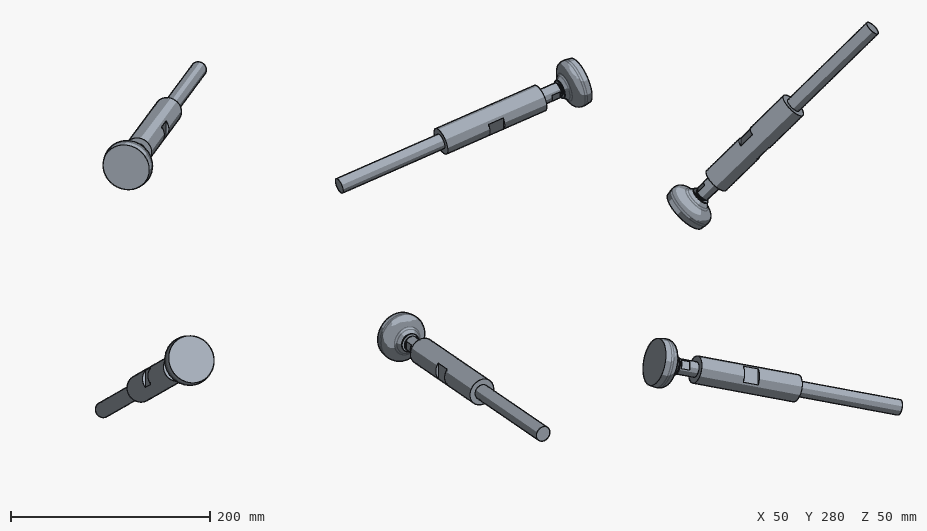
import cadquery as cq

total_length = 280.0

spindle_radius = 7.98
spindle_flat_width = 13.2
spindle_flat_start = 27.2
spindle_flat_length = 9.5
neck_radius = 6.7

sleeve_radius = 14.0
sleeve_start = 46.8
sleeve_length = 115.0
sleeve_flat_width = 22.0
sleeve_flat_length = 17.0
sleeve_flat_start = sleeve_start + (sleeve_length - sleeve_flat_length) / 2

foot_radius = 50.0 / 2
sole_radius = 24.0
rim_start = 6.2
rim_end = 8.7
shoulder_radius = 15.0
shoulder_slope = 0.4
shoulder_height = 18.0
collar_radius = 9.8
collar_edge_height = 23.0
cone_drop = 3.5
cone_radius = collar_radius + cone_drop
cone_height = collar_edge_height - cone_drop
foot_height = 24.0
neck_length = 1.5
spindle_end = foot_height + neck_length


def cylinder(radius, start, length):
    """Round bar along +Y from the given start."""
    return cq.Workplane("XZ", origin=(0, start, 0)).circle(radius).extrude(-length)


def cut_flats(body, radius, width, start, length):
    """Cut two opposite flats, facing -X and +X, leaving the given width across them."""
    depth = radius - width / 2
    for side in (-1, 1):
        cutter = cq.Workplane("XY").box(depth, length, 2 * radius)
        body = body.cut(cutter.translate((side * (radius - depth / 2), start + length / 2, 0)))
    return body


def make_spindle():
    """Long rod through the sleeve, stepped down to a short neck standing on the foot."""
    rod = cylinder(spindle_radius, spindle_end, total_length - spindle_end)
    rod = cut_flats(rod, spindle_radius, spindle_flat_width, spindle_flat_start, spindle_flat_length)
    return rod.union(cylinder(neck_radius, foot_height, neck_length))


def make_sleeve():
    """Tube around the spindle with a pair of wrench flats at mid length."""
    tube = cylinder(sleeve_radius, sleeve_start, sleeve_length)
    tube = cut_flats(tube, sleeve_radius, sleeve_flat_width, sleeve_flat_start, sleeve_flat_length)
    return tube.cut(cylinder(spindle_radius, sleeve_start, sleeve_length))


def make_foot():
    """Turned foot: tapered sole, cylindrical rim, rounded crown and conical collar."""
    return (
        cq.Workplane("XY")
        .lineTo(sole_radius, 0)
        .lineTo(foot_radius, rim_start)
        .lineTo(foot_radius, rim_end)
        .spline(
            [(shoulder_radius, shoulder_height)],
            tangents=[(0, 1), (-1, shoulder_slope)],
            includeCurrent=True,
        )
        .tangentArcPoint((cone_radius, cone_height), relative=False)
        .lineTo(collar_radius, collar_edge_height)
        .lineTo(collar_radius, foot_height)
        .lineTo(0, foot_height)
        .close()
        .revolve(360, (0, 0, 0), (0, 1, 0))
    )


spindle = make_spindle()
sleeve = make_sleeve()
foot = make_foot()

result = cq.Compound.makeCompound([spindle.val(), sleeve.val(), foot.val()])